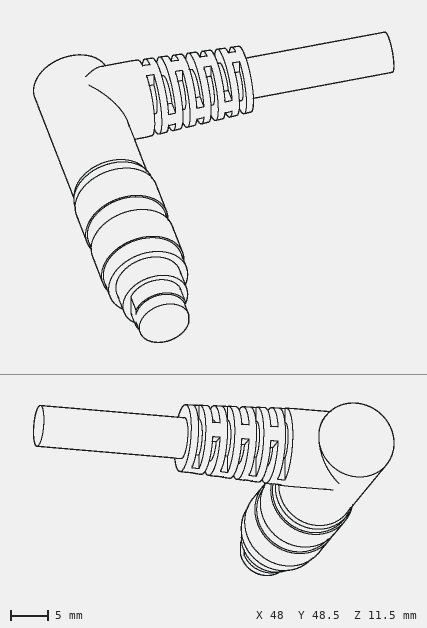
import cadquery as cq


OVERALL_LENGTH_X = 48
OVERALL_LENGTH_Y = 48.5

BODY_DIA = 10.5
BODY_RADIUS = BODY_DIA / 2
BODY_END_X = 15.75

NECK_DIA = 8.0
SLEEVE_DIA = 11.0
GRIP_DIA = 11.5
COLLAR_DIA = 9.0
KEY_RING_DIA = 7.45
TIP_DIA = 7.0
COLLAR_END_X = 38.15
TIP_END_X = OVERALL_LENGTH_X - BODY_RADIUS
PLUG_SECTIONS = [
    (BODY_DIA, BODY_END_X),
    (NECK_DIA, 16.55),
    (SLEEVE_DIA, 18.05),
    (GRIP_DIA, 23.5),
    (SLEEVE_DIA, 26.35),
    (GRIP_DIA, 31.7),
    (SLEEVE_DIA, 34.5),
    (COLLAR_DIA, COLLAR_END_X),
    (KEY_RING_DIA, 40.85),
    (TIP_DIA, TIP_END_X),
]
FLAT_SPACING = 6.85

CABLE_DIA = 5.55
CABLE_END_Y = OVERALL_LENGTH_Y - GRIP_DIA / 2

SLOT_PITCH = 4.0
SLOT_WIDTH = SLOT_PITCH / 4
SIDE_SLOTS = 4
FACE_SLOTS = 3
CLEARANCE = 2 * BODY_DIA
BRIDGE_WIDTH = 2.05
RELIEF_TIP_DIA = 9.0
RELIEF_TIP_Y = 22.75
RELIEF_LENGTH = (2 * (SIDE_SLOTS + FACE_SLOTS) + 1) * SLOT_WIDTH
RELIEF_BASE_Y = RELIEF_TIP_Y - RELIEF_LENGTH
RELIEF_TAPER = (BODY_DIA - RELIEF_TIP_DIA) / 2 / RELIEF_LENGTH
SLOT_SHIFT = SLOT_PITCH * RELIEF_TAPER


def y_cylinder(diameter, start_y, end_y, x=0, z=0):
    """Cylinder along Y, centred on the given X and Z."""
    base = cq.Workplane("XZ", origin=(x, start_y, z))
    return base.circle(diameter / 2).extrude(start_y - end_y)


def make_plug():
    """Stepped round plug, one section after another along +X."""
    outline = cq.Workplane("XY").moveTo(-BODY_RADIUS, 0)
    for diameter, end_x in PLUG_SECTIONS:
        outline = outline.vLineTo(diameter / 2).hLineTo(end_x)
    plug = outline.vLineTo(0).close().revolve(360, (0, 0, 0), (1, 0, 0))

    flat_length = TIP_END_X - COLLAR_END_X
    flat_depth = KEY_RING_DIA
    for side in (-1, 1):
        flat_cut = cq.Workplane("XY").box(flat_length, flat_depth, KEY_RING_DIA, centered=(False, True, True))
        flat_y = side * (FLAT_SPACING + flat_depth) / 2
        plug = plug.cut(flat_cut.translate((COLLAR_END_X, flat_y, 0)))
    return plug


def slot_cutter(center_y, bridge_size, core_x, core_z):
    """Ring-shaped slot that spares its bridge, sized (X, Z), and a round core at core_x, core_z."""
    start_y = center_y - SLOT_WIDTH / 2
    end_y = center_y + SLOT_WIDTH / 2
    ring = y_cylinder(CLEARANCE, start_y, end_y)
    core = y_cylinder(CABLE_DIA, start_y, end_y, core_x, core_z)
    bridge = cq.Workplane("XY").box(bridge_size[0], SLOT_WIDTH, bridge_size[1])
    return ring.cut(core).cut(bridge.translate((0, center_y, 0)))


def make_strain_relief():
    """Cone with slots cut alternately from the sides and from the top and bottom."""
    cone = (
        cq.Workplane("XY")
        .moveTo(0, RELIEF_BASE_Y)
        .hLineTo(BODY_RADIUS)
        .lineTo(RELIEF_TIP_DIA / 2, RELIEF_TIP_Y)
        .hLineTo(0)
        .close()
        .revolve(360, (0, 0, 0), (0, 1, 0))
    )
    first_side_slot_y = RELIEF_TIP_Y - 1.5 * SLOT_WIDTH
    first_face_slot_y = first_side_slot_y - SLOT_PITCH / 2
    for index in range(SIDE_SLOTS):
        slot_y = first_side_slot_y - index * SLOT_PITCH
        cone = cone.cut(slot_cutter(slot_y, (BRIDGE_WIDTH, CLEARANCE), 0, index * SLOT_SHIFT))
    for index in range(FACE_SLOTS):
        slot_y = first_face_slot_y - index * SLOT_PITCH
        cone = cone.cut(slot_cutter(slot_y, (CLEARANCE, BRIDGE_WIDTH), index * SLOT_SHIFT, 0))
    return cone


branch = y_cylinder(BODY_DIA, 0, RELIEF_BASE_Y)
cable = y_cylinder(CABLE_DIA, RELIEF_TIP_Y, CABLE_END_Y)

result = make_plug().union(branch).union(make_strain_relief()).union(cable)